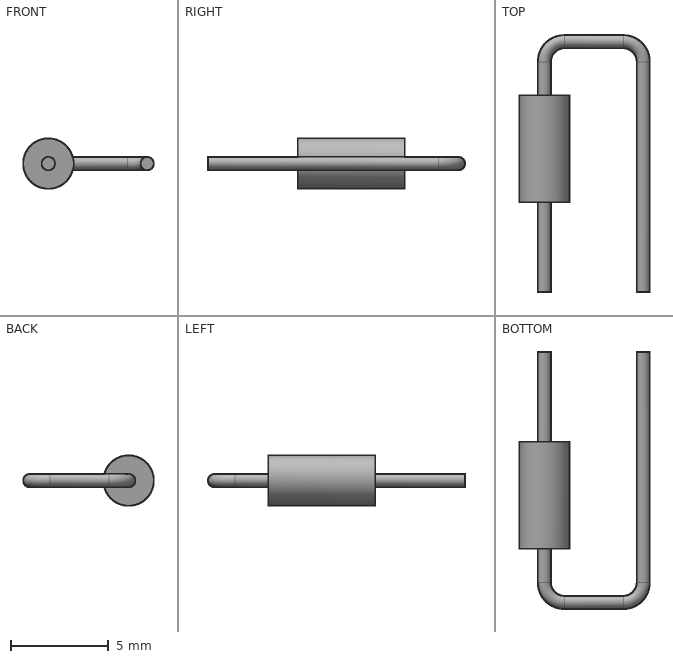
import cadquery as cq

BODY_DIAMETER = 2.6
BODY_LENGTH = 5.5
WIRE_DIAMETER = 0.69
OVERALL_WIDTH = 6.71
OVERALL_LENGTH = 13.19
BEND_RADIUS = 1.03
BODY_TO_TIP = 4.6

LEAD_PITCH = OVERALL_WIDTH - (BODY_DIAMETER + WIRE_DIAMETER) / 2
CROSSBAR_Y = OVERALL_LENGTH - WIRE_DIAMETER / 2


def cylinder_along_y(diameter, start_y, length):
    """Cylinder on the body axis, growing toward +Y."""
    plane = cq.Workplane("XZ", origin=(0, start_y, 0))
    return plane.circle(diameter / 2).extrude(-length)


def bent_wire():
    """Round wire swept along a U with two rounded corners."""
    corner_offset = BEND_RADIUS * (1 - 0.5**0.5)
    bend_start_y = CROSSBAR_Y - BEND_RADIUS
    path = (
        cq.Workplane("XY")
        .lineTo(0, bend_start_y)
        .threePointArc((corner_offset, CROSSBAR_Y - corner_offset), (BEND_RADIUS, CROSSBAR_Y))
        .lineTo(LEAD_PITCH - BEND_RADIUS, CROSSBAR_Y)
        .threePointArc(
            (LEAD_PITCH - corner_offset, CROSSBAR_Y - corner_offset),
            (LEAD_PITCH, bend_start_y),
        )
        .lineTo(LEAD_PITCH, 0)
    )
    return cq.Workplane("XZ").circle(WIRE_DIAMETER / 2).sweep(path)


body = cylinder_along_y(BODY_DIAMETER, BODY_TO_TIP, BODY_LENGTH)
result = body.union(bent_wire())